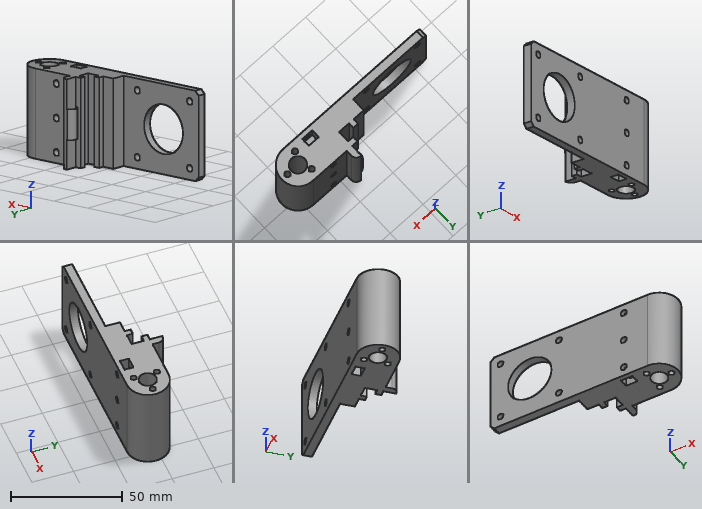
import cadquery as cq
import math

length = 93.5
height = 42.0
body_depth = 20.0
plate_thickness = 4.2
corner_chamfer = 2.0

step_x = 44.5
step_y = 11.2
lip_x = 50.6
rib_size = 2.9
wall_x = 59.5
tab_x = 56.4

depth_with_fin = 26.0
sleeve_diameter = 6.2
sleeve_wall = 0.14
sleeve_height = 14.3
fin_width = 3.5

end_radius = body_depth / 2
end_x = length - end_radius
shaft_diameter = 8.2
end_screw_diameter = 2.8
end_screw_circle_radius = 6.45
end_screw_count = 3

motor_x = 20.85
motor_bore_diameter = 23.0
motor_screw_spacing = 31.0
screw_diameter = 3.2

bolt_x = 70.9
bolt_spacing = 16.0
pocket_width = 6.0
pocket_depth_y = 4.3
pocket_y = 2.4
pocket_depth = height / 2 - bolt_spacing + pocket_width / 2

sleeve_radius = sleeve_diameter / 2
fin_right = wall_x + fin_width
sleeve_x = fin_right - sleeve_radius
sleeve_y = depth_with_fin - sleeve_radius


def vertical_cylinder(x, y, diameter, cylinder_height):
    """Cylinder along Z, centred on Z = 0."""
    return cq.Workplane("XY").center(x, y).circle(diameter / 2).extrude(cylinder_height / 2, both=True)


def cross_hole(x, z, diameter):
    """Cutter along Y that passes through the whole part."""
    return cq.Workplane("XZ").center(x, z).circle(diameter / 2).extrude(-depth_with_fin)


def make_body():
    outline = (
        cq.Workplane("XY")
        .moveTo(0, 0)
        .lineTo(end_x, 0)
        .threePointArc((length, end_radius), (end_x, body_depth))
        .lineTo(tab_x, body_depth)
        .lineTo(tab_x, body_depth - rib_size)
        .lineTo(wall_x, body_depth - rib_size)
        .lineTo(wall_x, step_y)
        .lineTo(lip_x + rib_size, step_y)
        .lineTo(lip_x + rib_size, step_y + rib_size)
        .lineTo(lip_x, step_y + rib_size)
        .lineTo(lip_x, step_y)
        .lineTo(step_x, step_y)
        .lineTo(step_x, plate_thickness)
        .lineTo(0, plate_thickness)
        .close()
    )
    body = outline.extrude(height / 2, both=True)
    return body.edges("|Y and <X").chamfer(corner_chamfer)


def make_fin():
    """Full-height fin: flat on the -X side, rounded at its tip."""
    straight = cq.Workplane("XY").box(
        fin_width, sleeve_y - step_y, height, centered=(False, False, True)
    ).translate((wall_x, step_y, 0))
    tip = vertical_cylinder(sleeve_x, sleeve_y, sleeve_diameter, height)
    keep = cq.Workplane("XY").box(
        fin_width, depth_with_fin, height, centered=(False, False, True)
    ).translate((wall_x, 0, 0))
    return straight.union(tip.intersect(keep))


def make_sleeve():
    outer = vertical_cylinder(sleeve_x, sleeve_y, sleeve_diameter, sleeve_height)
    return outer.cut(vertical_cylinder(sleeve_x, sleeve_y, sleeve_diameter - 2 * sleeve_wall, sleeve_height))


result = make_body().union(make_sleeve()).union(make_fin())

result = result.cut(vertical_cylinder(end_x, end_radius, shaft_diameter, height))
for index in range(end_screw_count):
    angle = 2 * math.pi * index / end_screw_count
    screw_x = end_x + end_screw_circle_radius * math.cos(angle)
    screw_y = end_radius + end_screw_circle_radius * math.sin(angle)
    result = result.cut(vertical_cylinder(screw_x, screw_y, end_screw_diameter, height))

result = result.cut(cross_hole(motor_x, 0, motor_bore_diameter))
for side_x in (-1, 1):
    for side_z in (-1, 1):
        screw_x = motor_x + side_x * motor_screw_spacing / 2
        screw_z = side_z * motor_screw_spacing / 2
        result = result.cut(cross_hole(screw_x, screw_z, screw_diameter))

for row in (-1, 0, 1):
    result = result.cut(cross_hole(bolt_x, row * bolt_spacing, screw_diameter))

for side in (-1, 1):
    pocket = cq.Workplane("XY").box(
        pocket_width, pocket_depth_y, pocket_depth, centered=(True, False, True)
    ).translate((bolt_x, pocket_y, side * (height - pocket_depth) / 2))
    result = result.cut(pocket)